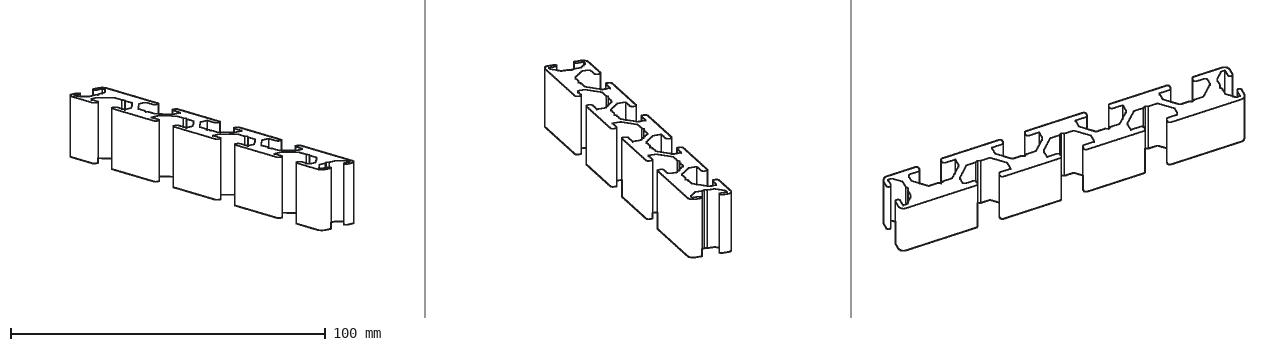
import cadquery as cq

LENGTH = 120.0
DEPTH = 15.0
HEIGHT = 20.0
CORNER_RADIUS = 1.9

SLOT_PITCH = 29.0
FRONT_SLOT_CENTERS = [step * SLOT_PITCH for step in (-1.5, -0.5, 0.5, 1.5)]
BACK_SLOT_CENTERS = [step * SLOT_PITCH for step in (-1, 0, 1)]
SIDE_MOUTH = 7.8
SIDE_LIP = 2.2
SIDE_CAVITY = 16.5
SIDE_SLOT_DEPTH = 9.1
SIDE_FLOOR = 8.2
SIDE_LIP_RADIUS = 0.8
CAVITY_CORNER_RADIUS = 0.8

END_MOUTH = 6.0
END_LIP = 1.5
END_CAVITY = 12.0
END_SLOT_DEPTH = 5.5
END_FLOOR = 6.7
END_LIP_RADIUS = 0.7

GROOVE_WIDTH = 1.7
GROOVE_DEPTH = 0.5

SHOULDER_RADIUS = 0.6


def upright_edges_at(body, points):
    """Edges parallel to Z that pass through the given profile points."""
    tolerance = 0.01
    edges = cq.Workplane("XY").newObject([])
    for x, y in points:
        box = cq.selectors.BoxSelector(
            (x - tolerance, y - tolerance, -tolerance),
            (x + tolerance, y + tolerance, HEIGHT + tolerance),
            boundingbox=True,
        )
        edges = edges.add(body.edges(box))
    return edges.vals()


def fillet_at(body, points, radius):
    """Round the upright edges at the given profile points."""
    return body.newObject(upright_edges_at(body, points)).fillet(radius)


def t_slot(mouth, lip, cavity, depth, floor):
    """Cutter opening at y = 0 toward -Y, with 45-degree shoulders beside its floor."""
    shoulder = depth - (cavity - floor) / 2
    right_side = [
        (mouth / 2, 0),
        (mouth / 2, lip),
        (cavity / 2, lip),
        (cavity / 2, shoulder),
        (floor / 2, depth),
        (GROOVE_WIDTH / 2, depth),
    ]
    left_side = [(-x, y) for x, y in reversed(right_side)]
    outline = right_side + [(0, depth + GROOVE_DEPTH)] + left_side
    slot = cq.Workplane("XY").polyline(outline).close().extrude(HEIGHT)
    shoulder_ends = []
    for side in (-1, 1):
        shoulder_ends += [(side * cavity / 2, shoulder), (side * floor / 2, depth)]
    return fillet_at(slot, shoulder_ends, SHOULDER_RADIUS)


def place(cutter, x, y, turn):
    """Turn a cutter about Z, then move its mouth to (x, y)."""
    return cutter.rotate((0, 0, 0), (0, 0, 1), turn).translate((x, y, 0))


body = cq.Workplane("XY").rect(LENGTH, DEPTH).extrude(HEIGHT).edges("|Z").fillet(CORNER_RADIUS)

side_slot = t_slot(SIDE_MOUTH, SIDE_LIP, SIDE_CAVITY, SIDE_SLOT_DEPTH, SIDE_FLOOR)
end_slot = t_slot(END_MOUTH, END_LIP, END_CAVITY, END_SLOT_DEPTH, END_FLOOR)
for center in FRONT_SLOT_CENTERS:
    body = body.cut(place(side_slot, center, -DEPTH / 2, 0))
for center in BACK_SLOT_CENTERS:
    body = body.cut(place(side_slot, center, DEPTH / 2, 180))
body = body.cut(place(end_slot, -LENGTH / 2, 0, -90))
body = body.cut(place(end_slot, LENGTH / 2, 0, 90))

side_lip_corners = []
for face, centers in ((-1, FRONT_SLOT_CENTERS), (1, BACK_SLOT_CENTERS)):
    for center in centers:
        for side in (-1, 1):
            mouth_x = center + side * SIDE_MOUTH / 2
            side_lip_corners += [(mouth_x, face * DEPTH / 2), (mouth_x, face * (DEPTH / 2 - SIDE_LIP))]
body = fillet_at(body, side_lip_corners, SIDE_LIP_RADIUS)

end_lip_corners = []
for end in (-1, 1):
    for side in (-1, 1):
        for inset in (0, END_LIP):
            end_lip_corners.append((end * (LENGTH / 2 - inset), side * END_MOUTH / 2))
body = fillet_at(body, end_lip_corners, END_LIP_RADIUS)

outer_cavity_corners = []
for face, centers in ((-1, FRONT_SLOT_CENTERS), (1, BACK_SLOT_CENTERS)):
    corner_y = face * (DEPTH / 2 - SIDE_LIP)
    outer_wall_x = centers[-1] + SIDE_CAVITY / 2
    outer_cavity_corners += [(-outer_wall_x, corner_y), (outer_wall_x, corner_y)]
body = fillet_at(body, outer_cavity_corners, CAVITY_CORNER_RADIUS)

result = body